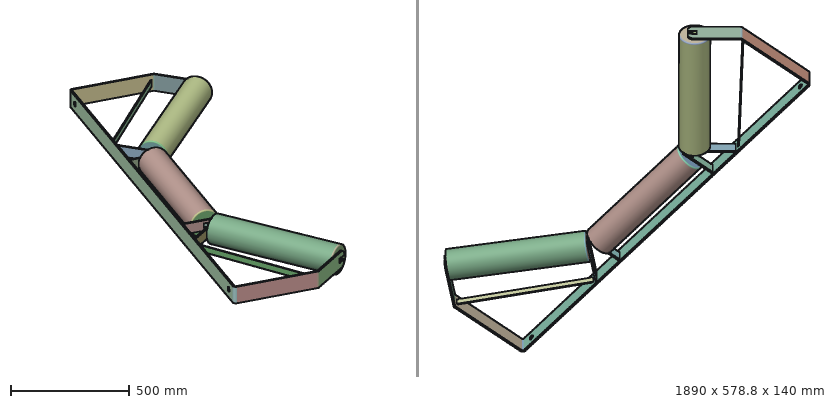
import cadquery as cq
import math


frame_length = 1890.0
bar_height = 80.0
bar_thickness = 8.0
bend_radius = 13.0
tip_radius = 25.0

roller_diameter = 135.0
roller_length = 601.0
roller_end_radius = 5.0
axle_square = 19.0
axle_reach = 8.0
slot_open_length = 95.0
end_gap = 2.0
middle_y = 125.0
middle_z = -5.0
wing_x = -580.0
wing_y = 336.0
wing_angle = 40.0
wing_drop = 5.0

tip_above_axle = 30.0
crest_y = 168.0
bracket_height = 50.0

brace_top_y = 372.0
brace_foot_x = -475.0
brace_height = 30.0
brace_thickness = 5.0

hole_inset = 62.0
hole_diameter = 20.0

half_length = frame_length / 2
half_roller = roller_length / 2
slot_depth_below_axle = axle_square / 2

wing_cos = math.cos(math.radians(wing_angle))
wing_sin = math.sin(math.radians(wing_angle))
wing_slope = math.tan(math.radians(wing_angle))


def wing_point(along, across):
    """XY point given along the left wing axis (inward) and across it (upward)."""
    return (
        wing_x + along * wing_cos + across * wing_sin,
        wing_y - along * wing_sin + across * wing_cos,
    )


def leg_point_at_x(along, x):
    """Point where the line across the wing axis at the given station reaches x."""
    base_x, base_y = wing_point(along, 0)
    return (x, base_y + (x - base_x) / wing_slope)


def leg_point_at_y(along, y):
    """Point where the line across the wing axis at the given station reaches y."""
    base_x, base_y = wing_point(along, 0)
    return (base_x + (y - base_y) * wing_slope, y)


def mirrored(shape):
    return shape.mirror("YZ")


def bar_from_outline(points, height, centre_z=0.0):
    """Upright bar with the given plan outline, centred on the given height."""
    return cq.Workplane("XY").workplane(offset=centre_z - height / 2).polyline(points).close().extrude(height)


def plane_of_wing():
    """Plane through the wing roller centre: normal along the axis, X across it."""
    drop_slope = wing_drop / roller_length
    return cq.Plane(
        origin=(wing_x, wing_y, middle_z + wing_drop / 2),
        xDir=(wing_sin, wing_cos, 0),
        normal=(wing_cos, -wing_sin, -drop_slope),
    )


def plane_of_middle():
    return cq.Plane(origin=(0, middle_y, middle_z), xDir=(0, 1, 0), normal=(1, 0, 0))


def centred_extrusion(sketch, length):
    """Extrude a sketch to equal distances on both sides of its plane, as one stretch."""
    return sketch.extrude(length).translate(sketch.plane.zDir * (-length / 2))


def roller(plane):
    """Roller with rounded rims and square axle ends."""
    shell = centred_extrusion(cq.Workplane(plane).circle(roller_diameter / 2), roller_length)
    shell = shell.edges("%CIRCLE").fillet(roller_end_radius)
    axle_length = roller_length + 2 * axle_reach
    axle = centred_extrusion(cq.Workplane(plane).rect(axle_square, axle_square), axle_length)
    return shell.union(axle)


def axle_slots(plane):
    """Cutter for the open slots that hold both axle ends."""
    reach = half_roller + end_gap + 2 * bar_thickness
    return (
        cq.Workplane(plane)
        .center((slot_open_length - slot_depth_below_axle) / 2, 0)
        .rect(slot_open_length + slot_depth_below_axle, axle_square)
        .extrude(reach, both=True)
    )


def frame():
    """Base, two upright ends and two inclined legs, bent from one flat bar."""
    leg_inner = -half_roller - end_gap
    leg_outer = leg_inner - bar_thickness
    bend_inner = leg_point_at_x(leg_inner, -half_length + bar_thickness)
    bend_outer = leg_point_at_x(leg_outer, -half_length)
    corner_outer = (-half_length, 0)
    corner_inner = (-half_length + bar_thickness, bar_thickness)
    left = [
        corner_inner,
        bend_inner,
        wing_point(leg_inner, tip_above_axle),
        wing_point(leg_outer, tip_above_axle),
        bend_outer,
        corner_outer,
    ]
    right = [(-x, y) for x, y in reversed(left)]
    body = bar_from_outline(left + right, bar_height)

    for sign in (-1, 1):
        for (x, y), radius in (
            (corner_outer, bend_radius),
            (corner_inner, bend_radius - bar_thickness),
            (bend_outer, bend_radius),
            (bend_inner, bend_radius - bar_thickness),
        ):
            bend_edge = cq.selectors.NearestToPointSelector((sign * x, y, 0))
            body = body.edges("|Z").edges(bend_edge).fillet(radius)

    tip_x, tip_y = wing_point((leg_inner + leg_outer) / 2, tip_above_axle)
    for sign in (-1, 1):
        for side in (-1, 1):
            corner = cq.selectors.NearestToPointSelector((sign * tip_x, tip_y, side * bar_height / 2))
            body = body.edges(corner).fillet(tip_radius)

    slots = axle_slots(plane_of_wing())
    holes = (
        cq.Workplane("XZ")
        .pushPoints([(-half_length + hole_inset, 0), (half_length - hole_inset, 0)])
        .circle(hole_diameter / 2)
        .extrude(-bar_thickness)
    )
    return body.cut(slots).cut(mirrored(slots)).cut(holes)


def bracket():
    """Bar bent over a crest: an inclined arm for the wing roller, a stand for the middle roller."""
    arm_outer = half_roller + end_gap
    arm_inner = arm_outer + bar_thickness
    stand_inner_x = -half_roller - end_gap
    stand_outer_x = stand_inner_x - bar_thickness
    crest_underside = crest_y - bar_thickness
    outline = [
        leg_point_at_y(arm_outer, bar_thickness),
        leg_point_at_y(arm_outer, crest_y),
        (stand_inner_x, crest_y),
        (stand_inner_x, bar_thickness),
        (stand_outer_x, bar_thickness),
        (stand_outer_x, crest_underside),
        leg_point_at_y(arm_inner, crest_underside),
        leg_point_at_y(arm_inner, bar_thickness),
    ]
    body = bar_from_outline(outline, bracket_height, middle_z)
    return body.cut(axle_slots(plane_of_wing())).cut(axle_slots(plane_of_middle()))


def brace():
    """Narrow diagonal bar from the upright end down to the base."""
    top_x = -half_length + bar_thickness
    run = brace_foot_x - top_x
    rise = brace_top_y - bar_thickness
    length = math.hypot(run, rise)
    step_x = brace_thickness * length / rise
    step_y = brace_thickness * length / run
    outline = [
        (top_x, brace_top_y),
        (brace_foot_x, bar_thickness),
        (brace_foot_x - step_x, bar_thickness),
        (top_x, brace_top_y - step_y),
    ]
    return bar_from_outline(outline, brace_height)


bodies = [frame().val(), roller(plane_of_middle()).val()]
for left_body in (roller(plane_of_wing()), bracket(), brace()):
    bodies.append(left_body.val())
    bodies.append(mirrored(left_body).val())

result = cq.Compound.makeCompound(bodies)